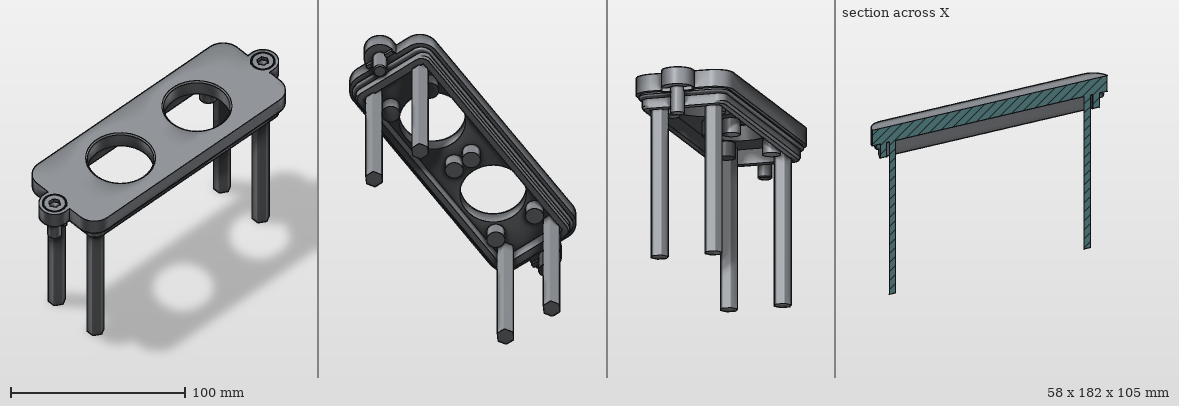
import cadquery as cq
import math

overall_length = 182.0
total_height = 105.0
plate_width = 58.0
plate_length = 157.2
plate_thickness = 10.0
plate_corner_radius = 11.1

lug_radius = 9.1
lug_center_y = overall_length / 2 - lug_radius
rib_thickness = 2.2
rib_height = 2.2

opening_diameter = 38.2
opening_chamfer = 1.0
opening_spacing = 60.0

plug_width = 51.3
plug_length = 146.3
plug_bottom = 18.7
plug_corner_radius = 5.3
plug_chamfer_width = 1.1
plug_chamfer_height = 1.6
plug_wall = 4.5
plug_height = plug_bottom - plate_thickness
cavity_width = plug_width - 2 * plug_wall
cavity_length = plug_length - 2 * plug_wall

boss_diameter = 10.4
corner_boss_x = 13.6
corner_boss_y = 51.9
middle_boss_x = 6.0

post_across_flats = 9.1
post_edge_radius = 1.0
post_x = 16.2
post_y = 65.0

screw_diameter = 8.0
screw_end_chamfer = 0.7
long_screw_end = 25.3
short_screw_end = 24.8
head_diameter = 12.5
head_recess_diameter = 14.0
head_groove_depth = 1.8
socket_across_flats = 6.0
socket_turn = 30
socket_depth = 2.4
socket_cone_depth = 1.5

gasket_corner_radius = 7.8
gasket_ridge_width = 54.6
gasket_ridge_length = 152.2
gasket_ridge_depth = 11.1
gasket_top_width = 53.5
gasket_top_length = 151.5
gasket_bottom = 13.0
gasket_edge_radius = 1.5


def across_corners(across_flats):
    """Diameter of the circle through the corners of a hexagon."""
    return across_flats / math.cos(math.pi / 6)


def rounded_outline(width, length, radius, depth):
    """Rounded rectangle at the given depth below the top face."""
    sketch = cq.Sketch().rect(width, length).vertices().fillet(radius)
    return cq.Workplane("XY").workplane(offset=-depth).placeSketch(sketch)


def loft_layer(lower, upper, radius):
    """Solid with straight sloping sides between two rounded rectangles, each (width, length, depth)."""
    lower_width, lower_length, lower_depth = lower
    upper_width, upper_length, upper_depth = upper
    bottom = cq.Sketch().rect(lower_width, lower_length).vertices().fillet(radius)
    top = cq.Sketch().rect(upper_width, upper_length).vertices().fillet(radius)
    top = top.moved(cq.Location(cq.Vector(0, 0, lower_depth - upper_depth)))
    return cq.Workplane("XY").workplane(offset=-lower_depth).placeSketch(bottom, top).loft(ruled=True)


def make_plate():
    plate = rounded_outline(plate_width, plate_length, plate_corner_radius, plate_thickness)
    return plate.extrude(plate_thickness)


def make_lug(side):
    """Rounded lug with a cross rib underneath, at the +Y (1) or -Y (-1) end."""
    center_y = side * lug_center_y
    base = cq.Workplane("XY").workplane(offset=-plate_thickness)
    lug = base.center(0, center_y).circle(lug_radius).extrude(plate_thickness)
    neck = base.center(0, center_y / 2).rect(2 * lug_radius, lug_center_y).extrude(plate_thickness)
    rib = base.center(0, center_y).rect(2 * lug_radius, rib_thickness).extrude(-rib_height)
    return lug.union(neck).union(rib)


def make_plug():
    """Open frame whose lower layer narrows along the long sides and fades out at the ends."""
    chamfer_top = plug_bottom - plug_chamfer_height
    upper = rounded_outline(plug_width, plug_length, plug_corner_radius, chamfer_top)
    upper = upper.extrude(chamfer_top - plate_thickness)
    lower = loft_layer(
        (plug_width - 2 * plug_chamfer_width, plug_length, plug_bottom),
        (plug_width, plug_length, chamfer_top),
        plug_corner_radius,
    )
    cavity = cq.Workplane("XY").workplane(offset=-plug_bottom).rect(cavity_width, cavity_length)
    return upper.union(lower).cut(cavity.extrude(plug_height))


def make_bosses():
    """Four bosses near the corners of the frame and two in its middle, ending level with its rim."""
    centers = [(x, y) for x in (-corner_boss_x, corner_boss_x) for y in (-corner_boss_y, corner_boss_y)]
    centers += [(-middle_boss_x, 0), (middle_boss_x, 0)]
    base = cq.Workplane("XY").workplane(offset=-plug_bottom)
    return base.pushPoints(centers).circle(boss_diameter / 2).extrude(plug_height)


def make_posts():
    """Four hexagonal posts with their flats facing +Y and -Y."""
    base = cq.Workplane("XY").workplane(offset=-total_height)
    posts = base.rect(2 * post_x, 2 * post_y, forConstruction=True).vertices()
    posts = posts.polygon(6, across_corners(post_across_flats)).extrude(total_height - plate_thickness)
    return posts.edges("|Z").fillet(post_edge_radius)


def openings_cutter():
    """Both through openings, chamfered at the top face."""
    face = cq.Workplane("XY").pushPoints([(0, -opening_spacing / 2), (0, opening_spacing / 2)])
    radius = opening_diameter / 2
    openings = face.circle(radius).extrude(-plate_thickness)
    rims = face.circle(radius + opening_chamfer).extrude(-opening_chamfer, taper=45)
    return openings.union(rims)


def make_shank(side, end_depth):
    """Screw shank from the underside of a lug down to the given depth."""
    base = cq.Workplane("XY").workplane(offset=-plate_thickness).center(0, side * lug_center_y)
    return base.circle(screw_diameter / 2).extrude(plate_thickness - end_depth)


def head_cutter(side):
    """Ring groove around the screw head, and its hexagon socket with a conical bottom."""
    face = cq.Workplane("XY").center(0, side * lug_center_y)
    groove = face.circle(head_recess_diameter / 2).circle(head_diameter / 2).extrude(-head_groove_depth)
    corner_radius = across_corners(socket_across_flats) / 2
    full_depth = socket_depth + socket_cone_depth
    hexagon = face.transformed(rotate=(0, 0, socket_turn)).polygon(6, 2 * corner_radius).extrude(-full_depth)
    drill_profile = [(0, 0), (corner_radius, 0), (corner_radius, -socket_depth), (0, -full_depth)]
    drill = cq.Workplane("XZ").polyline(drill_profile).close().revolve(360, (0, 0), (0, 1))
    drill = drill.translate((0, side * lug_center_y, 0))
    return groove.union(hexagon.intersect(drill))


def make_cover():
    """Plate, lugs, plug frame, bosses, posts and screws as one solid."""
    cover = make_plate()
    for side in (-1, 1):
        cover = cover.union(make_lug(side))
    for part in (make_plug(), make_bosses(), make_posts()):
        cover = cover.union(part)

    short_shank = make_shank(1, short_screw_end).faces("<Z").chamfer(screw_end_chamfer)
    cover = cover.union(short_shank).union(make_shank(-1, long_screw_end))
    for side in (-1, 1):
        cover = cover.cut(head_cutter(side))
    return cover.cut(openings_cutter())


def make_gasket():
    """Ring with a ridge all round, rounded underneath, fitted on the plug against the plate."""
    ridge = (gasket_ridge_width, gasket_ridge_length, gasket_ridge_depth)
    top = (gasket_top_width, gasket_top_length, plate_thickness)
    lip = rounded_outline(gasket_ridge_width, gasket_ridge_length, gasket_corner_radius, gasket_bottom)
    lip = lip.extrude(gasket_bottom - gasket_ridge_depth).faces("<Z").edges().fillet(gasket_edge_radius)
    body = lip.union(loft_layer(ridge, top, gasket_corner_radius))
    bore = rounded_outline(plug_width, plug_length, plug_corner_radius, gasket_bottom)
    return body.cut(bore.extrude(gasket_bottom - plate_thickness))


cover = make_cover()
gasket = make_gasket()
result = cq.Compound.makeCompound([cover.solids().val(), gasket.solids().val()])